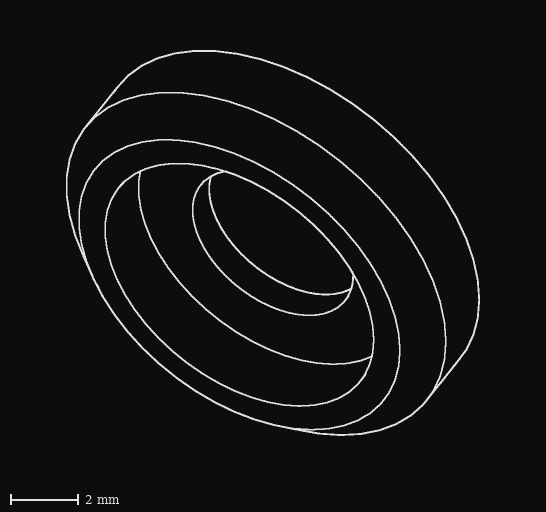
import cadquery as cq

outer_diameter = 13.0
thickness = 3.0
chamfer_size = 1.0
recess_diameter = 9.2
recess_depth = 2.0
bore_diameter = 5.5

disc = cq.Workplane("XZ").circle(outer_diameter / 2).extrude(-thickness)

disc = disc.faces("<Y").edges().chamfer(chamfer_size)

recess = cq.Workplane("XZ").circle(recess_diameter / 2).extrude(-recess_depth)
bore = cq.Workplane("XZ").circle(bore_diameter / 2).extrude(-thickness)

result = disc.cut(recess).cut(bore)